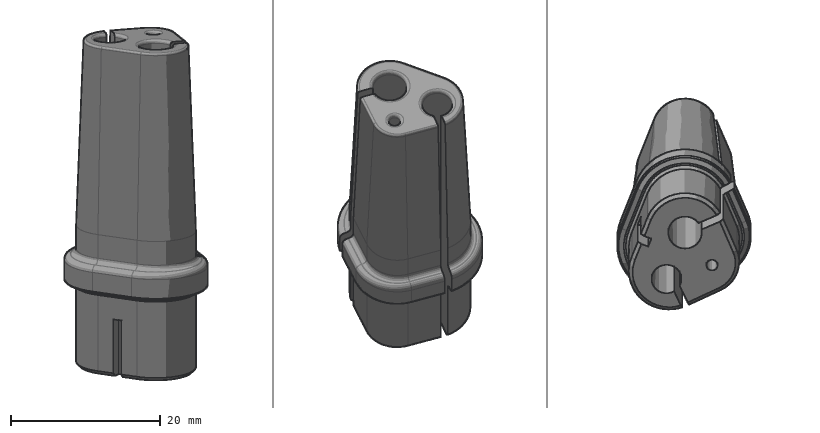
import cadquery as cq
import math

total_height = 45.5
flange_bottom = 11.5
flange_top = 15.5
taper_start = 19.55

flange_width = 19.97
rear_lobe_y = 4.2
side_radius = 5.4
rear_radius = 4.4
flange_side_radius = 7.0
flange_overhang = flange_side_radius - side_radius
lobe_x = flange_width / 2 - flange_side_radius
tip_inset = 1.0
section_y = -1.55

foot_chamfer = 0.5
flange_chamfer = 0.5
flange_root_chamfer = 0.4
flange_round = 0.8
flange_root_round = 0.75
tip_round = 0.3
hole_round = 0.45
selection_margin = 0.05

holes = [
    (-4.0, section_y, 4.0),
    (3.0, section_y, 4.5),
    (0.0, section_y + 5.0, 1.5),
]

slit_width = 1.0
slit_angle = 45.0
slit_length = 13.65
key_width = 1.2
key_height = 8.0
key_depth = 1.5


def section(offset, z):
    """Rounded triangle at height z, grown outward by offset."""
    side = side_radius + offset
    rear = rear_radius + offset
    centre_distance = math.hypot(lobe_x, rear_lobe_y)
    centre_angle = math.atan2(rear_lobe_y, -lobe_x)
    normal_angle = centre_angle - math.acos((side - rear) / centre_distance)
    side_mid_angle = (normal_angle - math.pi / 2) / 2

    def on_side(angle):
        return lobe_x + side * math.cos(angle), side * math.sin(angle)

    def mirrored(point):
        return -point[0], point[1]

    side_end = on_side(normal_angle)
    side_mid = on_side(side_mid_angle)
    rear_start = (rear * math.cos(normal_angle), rear_lobe_y + rear * math.sin(normal_angle))
    return (
        cq.Workplane("XY", origin=(0, section_y, z))
        .moveTo(-lobe_x, -side)
        .lineTo(lobe_x, -side)
        .threePointArc(side_mid, side_end)
        .lineTo(*rear_start)
        .threePointArc((0, rear_lobe_y + rear), mirrored(rear_start))
        .lineTo(*mirrored(side_end))
        .threePointArc(mirrored(side_mid), (-lobe_x, -side))
        .close()
    )


def make_body():
    """Straight stem with a chamfered foot and a tapered, rounded tip."""
    stem = section(0, 0).extrude(taper_start).faces("<Z").chamfer(foot_chamfer)
    taper_height = total_height - taper_start
    taper_angle = math.degrees(math.atan2(tip_inset, taper_height))
    tip = section(0, taper_start).extrude(taper_height, taper=taper_angle)
    return stem.union(tip.faces(">Z").edges().fillet(tip_round))


def add_flange(body):
    """Collar, rounded above and chamfered below, with eased roots on the stem."""
    collar = section(flange_overhang, flange_bottom).extrude(flange_top - flange_bottom)
    collar = collar.faces(">Z").edges().fillet(flange_round)
    collar = collar.faces("<Z").edges().chamfer(flange_chamfer)
    body = body.union(collar)
    body = root_edges(body, flange_bottom).chamfer(flange_root_chamfer)
    return root_edges(body, flange_top).fillet(flange_root_round)


def root_edges(body, z):
    """Edges where the stem meets a flat flange face at height z."""
    reach = side_radius + lobe_x + selection_margin
    low_corner = (-reach, section_y - side_radius - selection_margin, z - selection_margin)
    high_corner = (reach, section_y + rear_lobe_y + rear_radius + selection_margin, z + selection_margin)
    return body.edges(cq.selectors.BoxSelector(low_corner, high_corner, boundingbox=True))


def cut_hole(body, x, y, diameter):
    """Through hole with a rounded mouth at the tip."""
    radius = diameter / 2
    mouth_radius = radius + hole_round
    diagonal = hole_round * (1 - math.sqrt(0.5))
    cutter = (
        cq.Workplane("XZ")
        .moveTo(0, 0)
        .lineTo(radius, 0)
        .lineTo(radius, total_height - hole_round)
        .threePointArc((radius + diagonal, total_height - diagonal), (mouth_radius, total_height))
        .lineTo(0, total_height)
        .close()
        .revolve(360, (0, 0, 0), (0, 1, 0))
        .translate((x, y, 0))
    )
    return body.cut(cutter)


def slit(side):
    """Full-height slit running outward from a side lobe centre; side is -1 or 1."""
    return (
        cq.Workplane("XY")
        .rect(slit_length, slit_width)
        .extrude(total_height)
        .translate((slit_length / 2, 0, 0))
        .rotate((0, 0, 0), (0, 0, 1), 90 - side * slit_angle)
        .translate((side * lobe_x, section_y, 0))
    )


def key_slot():
    """Slot in the front face, open at the foot."""
    front_y = section_y - side_radius
    return cq.Workplane("XY").box(key_width, 2 * key_depth, 2 * key_height).translate((0, front_y, 0))


result = add_flange(make_body())
for hole_x, hole_y, hole_diameter in holes:
    result = cut_hole(result, hole_x, hole_y, hole_diameter)
for slit_side in (-1, 1):
    result = result.cut(slit(slit_side))
result = result.cut(key_slot())